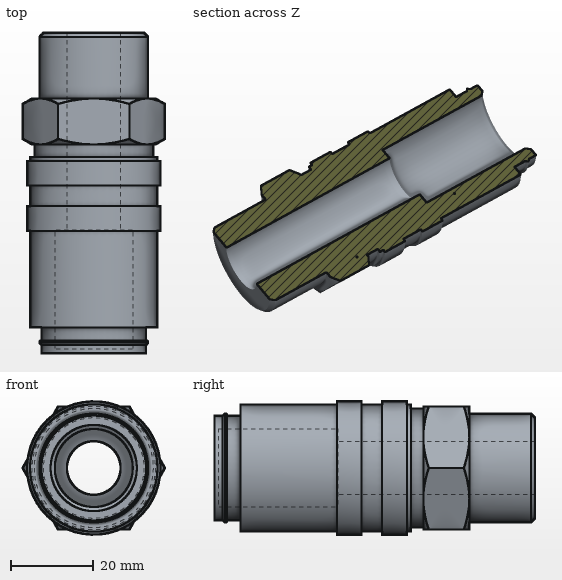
import cadquery as cq
import math

total_length = 78.0

nose_diameter = 25.5
nose_length = 6.3
bead_height = 0.5
bead_start = 2.0
bead_ramp_length = 0.6

sleeve_diameter = 31.0
sleeve_end = 47.8
band_diameter = 32.5
band_width = 6.0
band_starts = (29.8, 40.8)

neck_diameter = 29.0

hex_sides = 6
hex_across_flats = 30.0
hex_start = 50.8
hex_length = 11.2
hex_chamfer_angle = 30.0
hex_cone_clearance = 1.0

spigot_diameter = 26.5
spigot_chamfer = 1.0

socket_diameter = 19.0
socket_chamfer = 1.0
socket_depth = 30.0
through_diameter = 13.0

hex_end = hex_start + hex_length
hex_across_corners = hex_across_flats / math.cos(math.pi / hex_sides)


def cylinder(diameter, start, end):
    """Round bar along +Y between two axial positions."""
    plane = cq.Workplane("XZ", origin=(0, start, 0))
    return plane.circle(diameter / 2).extrude(start - end)


def revolve_about_y(profile):
    """Turn a closed profile of (radius, axial position) about the Y axis."""
    return profile.revolve(360, (0, 0, 0), (0, 1, 0))


def make_nose():
    """Socket nose with a bead: a straight ramp toward the mouth and a quarter round behind."""
    radius = nose_diameter / 2
    crest = bead_start + bead_ramp_length
    arc_offset = bead_height * math.sqrt(0.5)
    bead_end = (radius, crest + bead_height)
    profile = (
        cq.Workplane("XY")
        .lineTo(radius, 0)
        .lineTo(radius, bead_start)
        .lineTo(radius + bead_height, crest)
        .threePointArc((radius + arc_offset, crest + arc_offset), bead_end)
        .lineTo(radius, nose_length)
        .lineTo(0, nose_length)
        .close()
    )
    return revolve_about_y(profile)


def make_sleeve():
    """Sleeve carrying the grip bands."""
    sleeve = cylinder(sleeve_diameter, nose_length, sleeve_end)
    for start in band_starts:
        sleeve = sleeve.union(cylinder(band_diameter, start, start + band_width))
    return sleeve


def make_hexagon():
    """Hexagon with corners on the X axis, its corners turned down to a cone at both ends."""
    prism = (
        cq.Workplane("XZ", origin=(0, hex_start, 0))
        .polygon(hex_sides, hex_across_corners)
        .extrude(-hex_length)
    )
    face_radius = hex_across_flats / 2
    corner_radius = hex_across_corners / 2
    cone_radius = corner_radius + hex_cone_clearance
    cone_depth = (cone_radius - face_radius) * math.tan(math.radians(hex_chamfer_angle))
    envelope = (
        cq.Workplane("XY")
        .moveTo(0, hex_start)
        .lineTo(face_radius, hex_start)
        .lineTo(cone_radius, hex_start + cone_depth)
        .lineTo(cone_radius, hex_end - cone_depth)
        .lineTo(face_radius, hex_end)
        .lineTo(0, hex_end)
        .close()
    )
    return prism.intersect(revolve_about_y(envelope))


def make_spigot():
    """Plain spigot with a chamfered end."""
    return cylinder(spigot_diameter, hex_end, total_length).faces(">Y").chamfer(spigot_chamfer)


def make_bore():
    """Socket with a chamfered mouth, and the through hole."""
    radius = socket_diameter / 2
    socket = (
        cq.Workplane("XY")
        .lineTo(radius + socket_chamfer, 0)
        .lineTo(radius, socket_chamfer)
        .lineTo(radius, socket_depth)
        .lineTo(0, socket_depth)
        .close()
    )
    return revolve_about_y(socket).union(cylinder(through_diameter, 0, total_length))


result = (
    make_nose()
    .union(make_sleeve())
    .union(cylinder(neck_diameter, sleeve_end, hex_start))
    .union(make_hexagon())
    .union(make_spigot())
    .cut(make_bore())
)